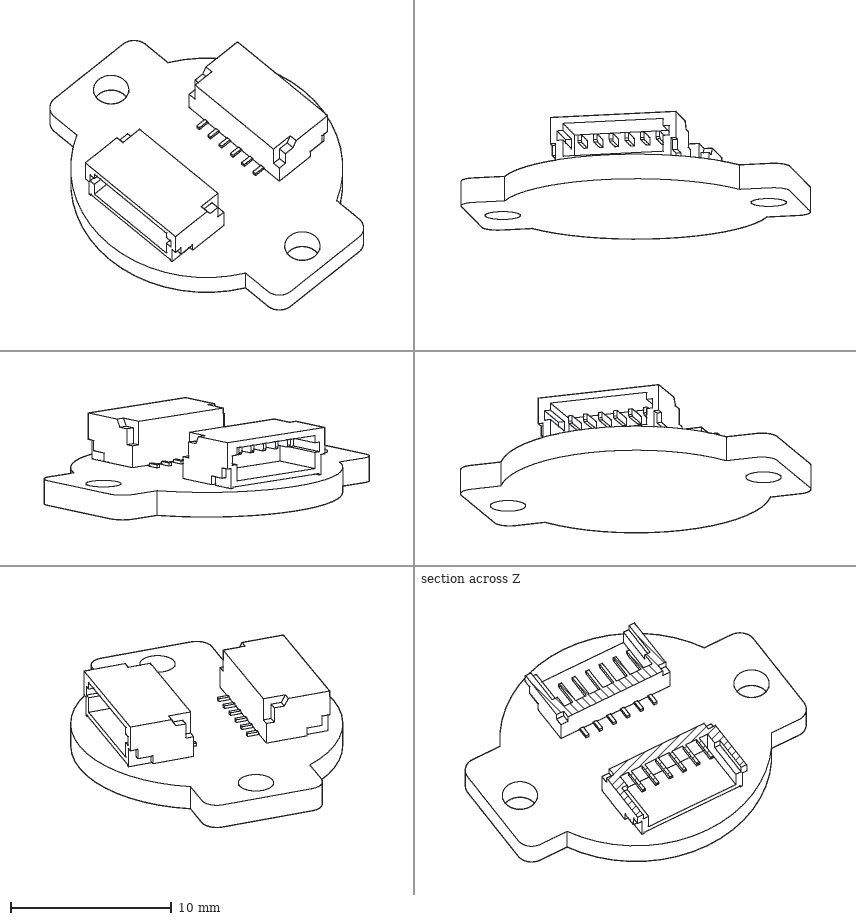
import cadquery as cq

BOARD_LENGTH = 21.0
BOARD_THICKNESS = 1.58
DISC_RADIUS = 8.5
EAR_WIDTH = 8.0
EAR_CORNER_RADIUS = 1.0
MOUNT_HOLE_DIAMETER = 2.2
MOUNT_HOLE_SPACING = 17.0

HOUSING_WIDTH = 8.02
HOUSING_DEPTH = 4.25
CONNECTOR_TOP = 3.0
HOUSING_BOTTOM = 0.13
BOARD_GAP = 0.05
HOUSING_BACK_Y = -2.44
HOUSING_FRONT_Y = HOUSING_BACK_Y - HOUSING_DEPTH
CONNECTOR_X = -0.02

CAVITY_WIDTH = 6.4
CAVITY_BOTTOM = 0.48
CAVITY_TOP = 2.58
CAVITY_DEPTH = 3.35
KEY_SLOT_WIDTH = 7.18
KEY_SLOT_BOTTOM = 1.51
KEY_SLOT_TOP = 2.12
KEY_SLOT_DEPTH = 2.52

REAR_RECESS_DEPTH = 0.52
FRONT_RECESS_DEPTH = 0.32
REAR_STEP_LENGTH = 0.52
FRONT_STEP_LENGTH = 0.5
REAR_RECESS_FLOOR = 1.51
REAR_RECESS_SHELF = 2.52
REAR_RECESS_LENGTH = 1.2
REAR_RECESS_TOP_LENGTH = 1.47
FRONT_RECESS_TOP = 1.32
FRONT_RECESS_SHELF = 0.67
FRONT_RECESS_LENGTH = 1.51
FOOT_WIDTH = 0.17

CONTACT_COUNT = 6
CONTACT_PITCH = 1.0
CONTACT_WIDTH = 0.23
TERMINAL_BOTTOM = 1.7
TERMINAL_TOP = 2.18
TERMINAL_LENGTH = 1.68
TERMINAL_CHAMFER_HEIGHT = 0.13
TERMINAL_CHAMFER_LENGTH = 0.06
LEAD_TOP = 0.23
LEAD_LENGTH = 0.71
LEAD_INSERTION = 0.08


def box_between(x_range, y_range, z_range):
    """Box between the given limits."""
    size = [high - low for low, high in (x_range, y_range, z_range)]
    corner = (x_range[0], y_range[0], z_range[0])
    return cq.Workplane("XY").box(*size, centered=False).translate(corner)


def centred_range(width, centre=0.0):
    """Limits of a width centred on a place."""
    return (centre - width / 2, centre + width / 2)


def extrude_along_x(points, x_start, length):
    """Extrude a (y, z) outline in the +X direction."""
    return cq.Workplane("YZ", origin=(x_start, 0, 0)).polyline(points).close().extrude(length)


def make_board():
    """Board with its top face at Z = 0."""
    ears = (
        cq.Workplane("XY")
        .rect(BOARD_LENGTH, EAR_WIDTH)
        .extrude(-BOARD_THICKNESS)
        .edges("|Z")
        .fillet(EAR_CORNER_RADIUS)
    )
    disc = cq.Workplane("XY").circle(DISC_RADIUS).extrude(-BOARD_THICKNESS)
    holes = (
        cq.Workplane("XY")
        .pushPoints([(-MOUNT_HOLE_SPACING / 2, 0), (MOUNT_HOLE_SPACING / 2, 0)])
        .circle(MOUNT_HOLE_DIAMETER / 2)
        .extrude(-BOARD_THICKNESS)
    )
    return ears.union(disc).cut(holes)


def rear_recess(x_start, depth):
    """Stepped notch with a sloped end, open to the top and rear of the housing."""
    rear = HOUSING_BACK_Y
    outline = [
        (rear, REAR_RECESS_FLOOR),
        (rear - REAR_STEP_LENGTH, REAR_RECESS_FLOOR),
        (rear - REAR_STEP_LENGTH, REAR_RECESS_SHELF),
        (rear - REAR_RECESS_LENGTH, REAR_RECESS_SHELF),
        (rear - REAR_RECESS_TOP_LENGTH, CONNECTOR_TOP),
        (rear, CONNECTOR_TOP),
    ]
    return extrude_along_x(outline, x_start, depth)


def front_recess(x_start, depth):
    """Stepped notch open to the bottom and front of the housing."""
    front = HOUSING_FRONT_Y
    outline = [
        (front, 0),
        (front, FRONT_RECESS_TOP),
        (front + FRONT_STEP_LENGTH, FRONT_RECESS_TOP),
        (front + FRONT_STEP_LENGTH, FRONT_RECESS_SHELF),
        (front + FRONT_RECESS_LENGTH, FRONT_RECESS_SHELF),
        (front + FRONT_RECESS_LENGTH, 0),
    ]
    return extrude_along_x(outline, x_start, depth)


def make_housing():
    """Housing centred on X = 0, open toward -Y."""
    housing = box_between(
        centred_range(HOUSING_WIDTH),
        (HOUSING_FRONT_Y, HOUSING_BACK_Y),
        (HOUSING_BOTTOM, CONNECTOR_TOP),
    )
    cavity_y = (HOUSING_FRONT_Y, HOUSING_FRONT_Y + CAVITY_DEPTH)
    cavity = box_between(centred_range(CAVITY_WIDTH), cavity_y, (CAVITY_BOTTOM, CAVITY_TOP))
    key_slot_y = (HOUSING_FRONT_Y, HOUSING_FRONT_Y + KEY_SLOT_DEPTH)
    key_slots = box_between(
        centred_range(KEY_SLOT_WIDTH),
        key_slot_y,
        (KEY_SLOT_BOTTOM, KEY_SLOT_TOP),
    )
    housing = housing.cut(cavity).cut(key_slots)

    half_width = HOUSING_WIDTH / 2
    for x_start in (-half_width, half_width - REAR_RECESS_DEPTH):
        housing = housing.cut(rear_recess(x_start, REAR_RECESS_DEPTH))
    for x_start in (-half_width, half_width - FRONT_RECESS_DEPTH):
        housing = housing.cut(front_recess(x_start, FRONT_RECESS_DEPTH))
    return housing


def make_foot(side):
    """Foot under the front of the housing, flush with the recess wall; side is -1 or 1."""
    foot_x = side * (HOUSING_WIDTH / 2 - FRONT_RECESS_DEPTH - FOOT_WIDTH / 2)
    foot_y = (HOUSING_FRONT_Y, HOUSING_FRONT_Y + FRONT_RECESS_LENGTH)
    return box_between(centred_range(FOOT_WIDTH, foot_x), foot_y, (BOARD_GAP, HOUSING_BOTTOM))


def make_terminal(x):
    """Terminal rooted in the rear wall of the cavity, with a chamfer under its tip."""
    root = HOUSING_FRONT_Y + CAVITY_DEPTH
    tip = root - TERMINAL_LENGTH
    outline = [
        (root, TERMINAL_BOTTOM),
        (root, TERMINAL_TOP),
        (tip, TERMINAL_TOP),
        (tip, TERMINAL_BOTTOM + TERMINAL_CHAMFER_HEIGHT),
        (tip + TERMINAL_CHAMFER_LENGTH, TERMINAL_BOTTOM),
    ]
    return extrude_along_x(outline, x - CONTACT_WIDTH / 2, CONTACT_WIDTH)


def make_lead(x):
    """Solder lead just above the board, with its inner end let into the rear of the housing."""
    lead_y = (HOUSING_BACK_Y - LEAD_INSERTION, HOUSING_BACK_Y + LEAD_LENGTH)
    return box_between(centred_range(CONTACT_WIDTH, x), lead_y, (BOARD_GAP, LEAD_TOP))


def make_connector(angle):
    """One connector, turned about the board axis and moved to its place along X."""
    connector = make_housing()
    for side in (-1, 1):
        connector = connector.union(make_foot(side))
    for index in range(CONTACT_COUNT):
        x = (index - (CONTACT_COUNT - 1) / 2) * CONTACT_PITCH
        connector = connector.union(make_terminal(x)).union(make_lead(x))
    return connector.rotate((0, 0, 0), (0, 0, 1), angle).translate((CONNECTOR_X, 0, 0))


board = make_board()
connectors = [make_connector(angle) for angle in (0, 180)]

result = cq.Compound.makeCompound([board.val(), *[connector.val() for connector in connectors]])